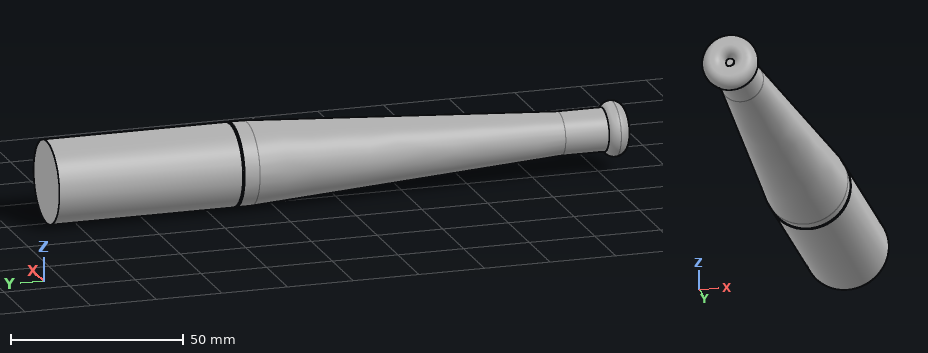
import cadquery as cq
import math

total_length = 176.0
handle_radius = 12.5

joint_y = 120.0
joint_groove_width = 0.5
joint_groove_depth = 0.2

collar_start_y = 115.0
neck_end_y = 19.9
neck_radius = 6.5

lip_radius = 8.3
lip_section_radius = 3.5
lip_center_radius = lip_radius - lip_section_radius
lip_center_y = lip_section_radius
dimple_floor_radius = lip_center_radius - lip_section_radius


def lip_back_y(radius):
    """Y of the back of the lip section at a given distance from the axis."""
    return lip_center_y + math.sqrt(lip_section_radius**2 - (radius - lip_center_radius) ** 2)


lip_back_mid_radius = lip_center_radius + lip_section_radius * math.cos(math.radians(30))
lip_back_mid = (lip_back_mid_radius, lip_back_y(lip_back_mid_radius))


def make_handle():
    """Plain solid cylinder."""
    return (
        cq.Workplane("XZ", origin=(0, total_length, 0))
        .circle(handle_radius)
        .extrude(total_length - joint_y)
    )


def make_stem():
    """Collar, long taper, neck and rolled lip with a dimple in its end."""
    groove_y = joint_y - joint_groove_width
    groove_radius = handle_radius - joint_groove_depth
    return (
        cq.Workplane("XY")
        .moveTo(0, joint_y)
        .lineTo(groove_radius, joint_y)
        .lineTo(groove_radius, groove_y)
        .lineTo(handle_radius, groove_y)
        .lineTo(handle_radius, collar_start_y)
        .lineTo(neck_radius, neck_end_y)
        .lineTo(neck_radius, lip_back_y(neck_radius))
        .threePointArc(lip_back_mid, (lip_radius, lip_center_y))
        .threePointArc((lip_center_radius, 0), (dimple_floor_radius, lip_center_y))
        .lineTo(0, lip_center_y)
        .close()
        .revolve(360, (0, 0, 0), (0, 1, 0))
    )


handle = make_handle()
stem = make_stem()
result = cq.Compound.makeCompound([handle.val(), stem.val()])